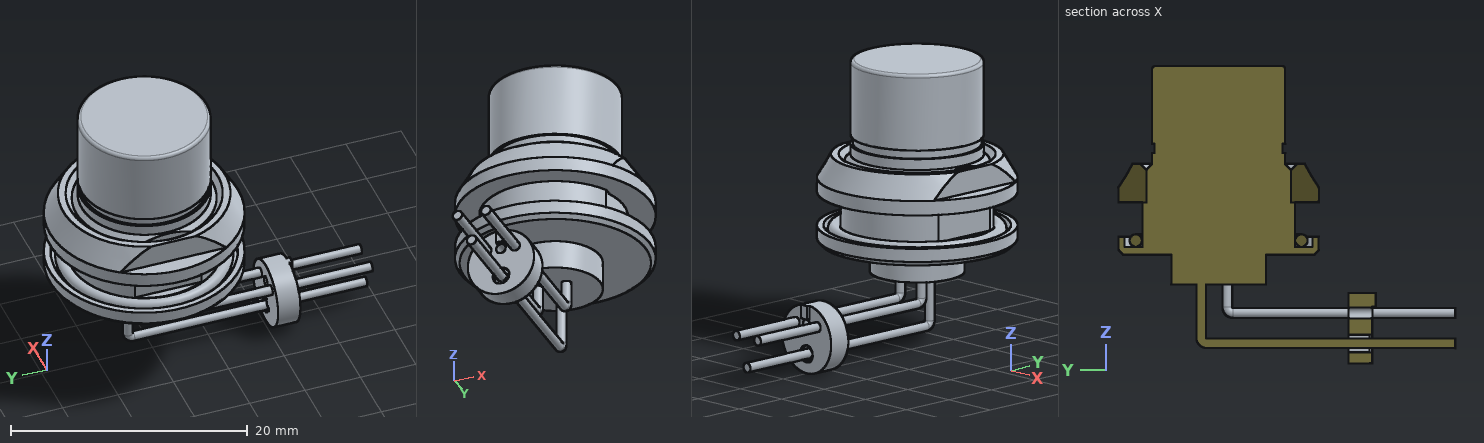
import cadquery as cq
import math


FLANGE_RADIUS = 8.5
FLANGE_TOP = 1.55
FLANGE_CHAMFER = 0.4
SHANK_RADIUS = 6.47
THREAD_RADIUS = 6.13
SHANK_FLAT_OFFSET = 5.73
CAP_RADIUS = 5.65
CAP_TOP = 16.0
CAP_FILLET = 0.28
CAP_GROOVE_RADIUS = 5.45
CAP_GROOVE_BOTTOM = 8.64
CAP_GROOVE_TOP = 9.38
COLLAR_RADIUS = 4.02
COLLAR_BOTTOM = -2.5

RING_WIRE_RADIUS = 0.55
RING_TOP = 1.77
RING_MID_RADIUS = SHANK_RADIUS + RING_WIRE_RADIUS
RING_CENTRE_HEIGHT = RING_TOP - RING_WIRE_RADIUS
RING_GROOVE_RADIUS = 7.92
RING_GROOVE_FLOOR = RING_CENTRE_HEIGHT - RING_WIRE_RADIUS

NUT_RADIUS = FLANGE_RADIUS
NUT_BOTTOM = 4.45
NUT_BAND_TOP = 5.7
NUT_TOP = 7.72
NUT_TOP_RADIUS = 7.3
NUT_FLAT_OFFSET = 7.0
NUT_MOUTH_RADIUS = 6.65
THREAD_CHAMFER_BOTTOM = NUT_TOP - (NUT_MOUTH_RADIUS - THREAD_RADIUS)
THREAD_CHAMFER_TOP = THREAD_CHAMFER_BOTTOM + (THREAD_RADIUS - CAP_RADIUS)

PIN_RADIUS = 0.43
PIN_BEND_RADIUS = 0.48
PIN_TIP_Y = -20.0
PIN_PITCH = 1.28
UPPER_PIN_Y = -0.75
LOWER_PIN_Y = 1.48

DISC_RADIUS = 3.0
DISC_BACK_Y = -10.97
DISC_FRONT_Y = -13.0
DISC_Z = -6.18
UPPER_PIN_Z = DISC_Z + PIN_PITCH
LOWER_PIN_Z = DISC_Z - PIN_PITCH
KEY_WIDTH = 0.7
KEY_HEIGHT = 1.2
KEY_DEPTH = 0.28
GRIP_HOLE_RADIUS = 0.75
GRIP_SLOT_WIDTH = 0.3
GRIP_RECESS = 0.25

UPPER_PINS = [(side * PIN_PITCH, UPPER_PIN_Y, UPPER_PIN_Z) for side in (-1, 1)]
LOWER_PIN = (0, LOWER_PIN_Y, LOWER_PIN_Z)


def along_minus_y(x, z, start_y):
    """Sketch plane at the given point, facing -Y, with local x = X and local y = Z."""
    return cq.Workplane("XZ", origin=(x, start_y, z))


def flat_sided(body, offset, bottom, top):
    """Cut two flats, square to X, on the body between two heights."""
    size = 2 * FLANGE_RADIUS
    for side in (-1, 1):
        cutter = cq.Workplane("XY").box(size, 2 * size, top - bottom, centered=(True, True, False))
        body = body.cut(cutter.translate((side * (offset + size / 2), 0, bottom)))
    return body


def make_pin(x, upright_y, level_z):
    """Round wire that leaves the collar downward and bends to run along -Y."""
    bend_diagonal = PIN_BEND_RADIUS * (1 - math.sqrt(0.5))
    path = (
        cq.Workplane("YZ", origin=(x, 0, 0))
        .moveTo(upright_y, COLLAR_BOTTOM)
        .lineTo(upright_y, level_z + PIN_BEND_RADIUS)
        .threePointArc(
            (upright_y - bend_diagonal, level_z + bend_diagonal),
            (upright_y - PIN_BEND_RADIUS, level_z),
        )
        .lineTo(PIN_TIP_Y, level_z)
    )
    profile = cq.Workplane("XY", origin=(x, upright_y, COLLAR_BOTTOM)).circle(PIN_RADIUS)
    return profile.sweep(path)


def make_housing():
    """Turned shell with two shank flats, an O-ring groove and the three pins."""
    profile = (
        cq.Workplane("XZ")
        .moveTo(0, COLLAR_BOTTOM)
        .lineTo(COLLAR_RADIUS, COLLAR_BOTTOM)
        .lineTo(COLLAR_RADIUS, 0)
        .lineTo(FLANGE_RADIUS - FLANGE_CHAMFER, 0)
        .lineTo(FLANGE_RADIUS, FLANGE_CHAMFER)
        .lineTo(FLANGE_RADIUS, FLANGE_TOP)
        .lineTo(RING_GROOVE_RADIUS, FLANGE_TOP)
        .lineTo(RING_GROOVE_RADIUS, RING_GROOVE_FLOOR)
        .lineTo(SHANK_RADIUS, RING_GROOVE_FLOOR)
        .lineTo(SHANK_RADIUS, NUT_BOTTOM)
        .lineTo(THREAD_RADIUS, NUT_BOTTOM)
        .lineTo(THREAD_RADIUS, THREAD_CHAMFER_BOTTOM)
        .lineTo(CAP_RADIUS, THREAD_CHAMFER_TOP)
        .lineTo(CAP_RADIUS, CAP_GROOVE_BOTTOM)
        .lineTo(CAP_GROOVE_RADIUS, CAP_GROOVE_BOTTOM)
        .lineTo(CAP_GROOVE_RADIUS, CAP_GROOVE_TOP)
        .lineTo(CAP_RADIUS, CAP_GROOVE_TOP)
        .lineTo(CAP_RADIUS, CAP_TOP)
        .lineTo(0, CAP_TOP)
        .close()
    )
    housing = profile.revolve(360, (0, 0), (0, 1)).faces(">Z").edges().fillet(CAP_FILLET)
    housing = flat_sided(housing, SHANK_FLAT_OFFSET, FLANGE_TOP, THREAD_CHAMFER_TOP)
    for pin in UPPER_PINS + [LOWER_PIN]:
        housing = housing.union(make_pin(*pin))
    return housing


def make_oring():
    """Torus that rests on the groove floor and hugs the shank."""
    return (
        cq.Workplane("XZ")
        .center(RING_MID_RADIUS, RING_CENTRE_HEIGHT)
        .circle(RING_WIRE_RADIUS)
        .revolve(360, (-RING_MID_RADIUS, 0), (-RING_MID_RADIUS, 1))
    )


def make_nut():
    """Conical nut with two wrench flats above its full round band."""
    nut = (
        cq.Workplane("XZ")
        .moveTo(THREAD_RADIUS, NUT_BOTTOM)
        .lineTo(NUT_RADIUS, NUT_BOTTOM)
        .lineTo(NUT_RADIUS, NUT_BAND_TOP)
        .lineTo(NUT_TOP_RADIUS, NUT_TOP)
        .lineTo(NUT_MOUTH_RADIUS, NUT_TOP)
        .lineTo(THREAD_RADIUS, THREAD_CHAMFER_BOTTOM)
        .close()
        .revolve(360, (0, 0), (0, 1))
    )
    return flat_sided(nut, NUT_FLAT_OFFSET, NUT_BAND_TOP, NUT_TOP)


def make_disc():
    """Disc with a key rib, a hole per upper pin, a spare hole and four grips on the lower pin."""
    thickness = DISC_BACK_Y - DISC_FRONT_Y
    blank = along_minus_y(0, DISC_Z, DISC_BACK_Y).circle(DISC_RADIUS).extrude(thickness + KEY_DEPTH)
    key_centre_z = DISC_Z + DISC_RADIUS - KEY_HEIGHT / 2
    key_zone = along_minus_y(0, key_centre_z, DISC_FRONT_Y).rect(KEY_WIDTH, KEY_HEIGHT).extrude(KEY_DEPTH)
    disc = along_minus_y(0, DISC_Z, DISC_BACK_Y).circle(DISC_RADIUS).extrude(thickness)
    disc = disc.union(blank.intersect(key_zone))

    for x in (-PIN_PITCH, 0, PIN_PITCH):
        hole = along_minus_y(x, UPPER_PIN_Z, DISC_BACK_Y).circle(PIN_RADIUS).extrude(thickness)
        disc = disc.cut(hole)

    lower = along_minus_y(0, LOWER_PIN_Z, DISC_BACK_Y)
    disc = disc.cut(lower.circle(GRIP_HOLE_RADIUS).extrude(thickness))
    grips = lower.circle(GRIP_HOLE_RADIUS).circle(PIN_RADIUS).extrude(thickness - GRIP_RECESS)
    for angle in (0, 90):
        slot = lower.rect(2 * GRIP_HOLE_RADIUS, GRIP_SLOT_WIDTH).extrude(thickness)
        grips = grips.cut(slot.rotate((0, 0, LOWER_PIN_Z), (0, 1, LOWER_PIN_Z), angle))
    return disc.union(grips)


housing = make_housing()
oring = make_oring()
nut = make_nut()
disc = make_disc()

result = cq.Compound.makeCompound([housing.val(), oring.val(), nut.val(), disc.val()])